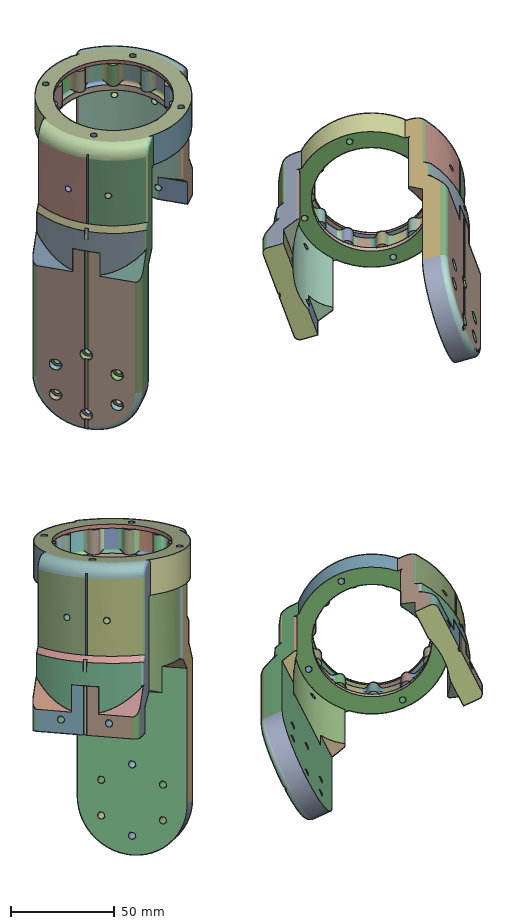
import cadquery as cq
import math


ring_radius = 37.98
ring_height = 18.0
hole_radius = 29.0
ring_screw_diameter = 3.2
ring_screw_circle_radius = 34.0
ring_screw_count = 4

pocket_radius = 31.0
pocket_top = -2.0
pocket_bottom = -14.6
pocket_floor_rounding = 1.7
rib_count = 11
rib_radius = 3.0
rib_circle_radius = 30.44
rib_root_rounding = 2.2

upper_wall_radius = 45.1
lower_wall_radius = 47.5
shoulder_rounding = 6.5
step_top = -45.3
step_bottom = -48.1
wall_bottom = -60.0
wall_outer_edge_rounding = 1.5
wall_inner_edge_rounding = 1.0

plate_face = 47.3
plate_edge_rounding = 3.0
ramp_bottom = -73.8
tab_width = 13.8
inner_ramp_top = -64.4
inner_ramp_bottom = -71.6

front_half_width = 27.7
front_inner_face = 34.9
front_bottom = -167.7
rear_half_width = 27.0
rear_inner_face = 36.0
rear_bottom = -84.9
bore_bottom = rear_bottom

upper_groove_width = 0.8
upper_groove_depth = 0.42
upper_groove_top = -4.2
lower_groove_width = 1.7
lower_groove_depth = 1.0
step_groove_top = -46.6
step_groove_bottom = -53.0

wall_screw_diameter = 3.2
wall_screw_x = 10.0
wall_screw_z = -27.3
front_screw_count = 6
front_screw_circle_radius = 18.0
front_screw_diameter = 3.5
front_head_diameter = 6.2
front_head_depth = 3.4
rear_screw_diameter = 3.5
rear_screw_x = 12.0
rear_screw_z = -78.0

reach = 2 * lower_wall_radius


def block(x_min, x_max, y_min, y_max, z_min, z_max):
    size = (x_max - x_min, y_max - y_min, z_max - z_min)
    return cq.Workplane("XY").box(*size, centered=False).translate((x_min, y_min, z_min))


def upright_cylinder(radius, z_min, z_max):
    return cq.Workplane("XY").workplane(offset=z_min).circle(radius).extrude(z_max - z_min)


def cylinder_along_y(x, z, diameter, y_min, y_max):
    plane = cq.Plane(origin=(x, y_min, z), xDir=(1, 0, 0), normal=(0, 1, 0))
    return cq.Workplane(plane).circle(diameter / 2).extrude(y_max - y_min)


def upper_wall(half_width):
    """Curved wall with a rounded shoulder and a chamfered step, on the +Y side."""
    shoulder_radius = upper_wall_radius - shoulder_rounding
    arc_offset = shoulder_rounding * math.sqrt(0.5)
    wall = (
        cq.Workplane("XZ")
        .moveTo(0, 0)
        .lineTo(shoulder_radius, 0)
        .threePointArc(
            (shoulder_radius + arc_offset, arc_offset - shoulder_rounding),
            (upper_wall_radius, -shoulder_rounding),
        )
        .lineTo(upper_wall_radius, step_top)
        .lineTo(lower_wall_radius, step_bottom)
        .lineTo(lower_wall_radius, wall_bottom)
        .lineTo(0, wall_bottom)
        .close()
        .revolve(360, (0, 0, 0), (0, 1, 0))
    )
    wall = wall.intersect(block(-half_width, half_width, 0, reach, wall_bottom, 0))
    outer_edges = cq.selectors.BoxSelector(
        (-reach, half_width, wall_bottom + 0.2), (reach, reach, -0.2)
    )
    return wall.faces("<X or >X").edges(outer_edges).fillet(wall_outer_edge_rounding)


def plate(half_width, bottom, round_end):
    """Flat plate with rounded outer edges and a ramp up to the curved wall."""
    flat_end = bottom + half_width if round_end else bottom
    body = block(-half_width, half_width, 0, plate_face, flat_end, wall_bottom)
    if round_end:
        body = body.union(cylinder_along_y(0, flat_end, 2 * half_width, 0, plate_face))
    face_edges = body.faces(">Y").edges("not #Z")
    body = face_edges.fillet(plate_edge_rounding)

    ramp_start = math.sqrt(lower_wall_radius**2 - half_width**2)
    ramp = (
        cq.Workplane("YZ")
        .polyline(
            [
                (ramp_start, wall_bottom),
                (plate_face, ramp_bottom),
                (reach, ramp_bottom),
                (reach, wall_bottom),
            ]
        )
        .close()
        .extrude(half_width, both=True)
    )
    core = upright_cylinder(lower_wall_radius, ramp_bottom, wall_bottom)
    core = core.intersect(block(-half_width, half_width, 0, plate_face, ramp_bottom, wall_bottom))
    tab = block(-tab_width / 2, tab_width / 2, 0, plate_face, ramp_bottom, wall_bottom)
    return body.cut(ramp).union(core).union(tab)


def centre_grooves(bottom):
    """Narrow groove on the wall, notch fading out below the step and wide groove on the plate."""
    wide = lower_groove_width / 2
    narrow = upper_groove_width / 2
    lower_floor = lower_wall_radius - lower_groove_depth
    upper_floor = upper_wall_radius - upper_groove_depth
    on_wall = block(-narrow, narrow, upper_floor, reach, step_top, upper_groove_top)
    on_step = (
        cq.Workplane("YZ")
        .polyline(
            [
                (lower_floor, step_groove_top),
                (lower_wall_radius, step_groove_bottom),
                (reach, step_groove_bottom),
                (reach, step_groove_top),
            ]
        )
        .close()
        .extrude(wide, both=True)
    )
    on_plate = block(-wide, wide, lower_floor, reach, bottom, wall_bottom)
    return on_wall.union(on_step).union(on_plate)


def leg(half_width, inner_face, bottom, round_end):
    """One complete leg on the +Y side."""
    body = upper_wall(half_width).union(plate(half_width, bottom, round_end))

    body = body.cut(block(-half_width, half_width, 0, inner_face, bottom, inner_ramp_bottom))
    body = body.cut(upright_cylinder(ring_radius, bore_bottom, -ring_height))
    corner = math.sqrt(ring_radius**2 - half_width**2)
    inner_edges = cq.selectors.BoxSelector(
        (-reach, corner - 0.2, inner_ramp_bottom), (reach, corner + 0.2, -ring_height)
    )
    body = body.edges("|Z").edges(inner_edges).fillet(wall_inner_edge_rounding)
    body = body.cut(upright_cylinder(ring_radius, -ring_height, 0))

    ramp_start = corner + wall_inner_edge_rounding
    inner_ramp = (
        cq.Workplane("YZ")
        .polyline(
            [
                (0, inner_ramp_top),
                (ramp_start, inner_ramp_top),
                (inner_face, inner_ramp_bottom),
                (0, inner_ramp_bottom),
            ]
        )
        .close()
        .extrude(half_width, both=True)
    )
    body = body.cut(inner_ramp)

    body = body.cut(centre_grooves(bottom))
    for x in (-wall_screw_x, wall_screw_x):
        body = body.cut(cylinder_along_y(x, wall_screw_z, wall_screw_diameter, 0, reach))
    return body


def front_leg():
    body = leg(front_half_width, front_inner_face, front_bottom, True)
    end_centre = front_bottom + front_half_width
    for i in range(front_screw_count):
        angle = math.radians(90 + i * 360 / front_screw_count)
        x = front_screw_circle_radius * math.cos(angle)
        z = end_centre + front_screw_circle_radius * math.sin(angle)
        body = body.cut(cylinder_along_y(x, z, front_screw_diameter, 0, reach))
        body = body.cut(cylinder_along_y(x, z, front_head_diameter, plate_face - front_head_depth, reach))
    return body.mirror("XZ")


def rear_leg():
    body = leg(rear_half_width, rear_inner_face, rear_bottom, False)
    for x in (-rear_screw_x, rear_screw_x):
        body = body.cut(cylinder_along_y(x, rear_screw_z, rear_screw_diameter, 0, reach))
    return body


def ribs():
    first_rib_angle = -90
    return (
        cq.Workplane("XY")
        .workplane(offset=pocket_bottom)
        .polarArray(rib_circle_radius, first_rib_angle, 360, rib_count)
        .circle(rib_radius)
        .extrude(pocket_top - pocket_bottom)
    )


def pocket():
    """Hollow of the pocket: a disc with a rounded lower rim, scalloped by the ribs."""
    scallops = upright_cylinder(pocket_radius, pocket_bottom, pocket_top).cut(ribs())
    scallops = scallops.edges("|Z").fillet(rib_root_rounding)
    disc = upright_cylinder(pocket_radius, pocket_bottom, pocket_top)
    disc = disc.faces("<Z").edges().fillet(pocket_floor_rounding)
    return scallops.intersect(disc)


def ring():
    body = upright_cylinder(ring_radius, -ring_height, 0)
    body = body.cut(upright_cylinder(hole_radius, -ring_height, 0))
    body = body.union(ribs()).cut(pocket())
    return (
        body.faces(">Z")
        .workplane(origin=(0, 0, 0))
        .polarArray(ring_screw_circle_radius, 0, 360, ring_screw_count)
        .hole(ring_screw_diameter)
    )


result = ring().union(front_leg()).union(rear_leg())